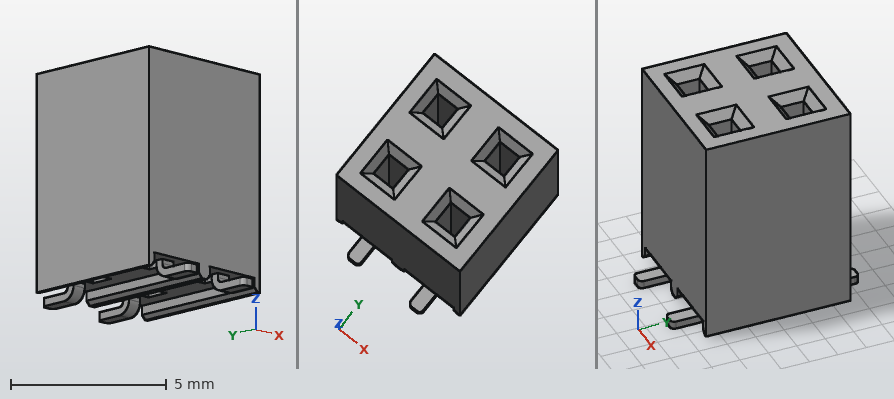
import cadquery as cq
import math

total_height = 7.4
body_width = 5.08
contact_span = 6.6
pitch = body_width / 2

body_standoff = 0.15
rib_width = 0.51
channel_depth = 0.45
foot_chamfer = 0.15

socket_mouth = 1.4
socket_bore = 0.8
socket_shift = 0.04
lead_in_depth = (socket_mouth - socket_bore) / 2

tail_width = 0.51
tail_thickness = 0.275
tail_flat = 0.985
bend_inner_radius = 0.18
tip_radius = 0.155

bend_outer_radius = bend_inner_radius + tail_thickness
channel_floor = body_standoff + channel_depth
half_pitch = pitch / 2


def make_housing():
    """Square block whose underside has two channels running along Y."""
    edge = body_width / 2
    channel_inner = rib_width / 2
    channel_outer = edge - rib_width / 2
    chamfer_top = body_standoff + foot_chamfer
    half = (
        cq.Workplane("XZ")
        .moveTo(0, total_height)
        .lineTo(edge, total_height)
        .lineTo(edge, body_standoff)
        .lineTo(channel_outer + foot_chamfer, body_standoff)
        .lineTo(channel_outer, chamfer_top)
        .lineTo(channel_outer, channel_floor)
        .lineTo(channel_inner, channel_floor)
        .lineTo(channel_inner, chamfer_top)
        .lineTo(channel_inner - foot_chamfer, body_standoff)
        .lineTo(0, body_standoff)
        .close()
        .extrude(edge, both=True)
    )
    return half.union(half.mirror("YZ"))


def make_socket(x, y):
    """Square through hole with a tapered lead-in at the top face."""
    bore = cq.Workplane("XY").center(x, y).rect(socket_bore, socket_bore).extrude(total_height)
    lead_in = (
        cq.Workplane("XY", origin=(x, y, total_height))
        .rect(socket_mouth, socket_mouth)
        .workplane(offset=-lead_in_depth)
        .rect(socket_bore, socket_bore)
        .loft(ruled=True)
    )
    return bore.union(lead_in)


def make_front_tail(x):
    """Flat tail pointing to -Y, bent upright into the channel floor."""
    tip = -contact_span / 2
    bend_start = tip + tail_flat
    front_face = bend_start + bend_inner_radius
    back_face = bend_start + bend_outer_radius
    diagonal = math.sqrt(0.5)
    outer_mid = (
        bend_start + bend_outer_radius * diagonal,
        bend_outer_radius * (1 - diagonal),
    )
    inner_mid = (
        bend_start + bend_inner_radius * diagonal,
        bend_outer_radius - bend_inner_radius * diagonal,
    )
    tail = (
        cq.Workplane("YZ", origin=(x, 0, 0))
        .moveTo(tip, 0)
        .lineTo(bend_start, 0)
        .threePointArc(outer_mid, (back_face, bend_outer_radius))
        .lineTo(back_face, channel_floor)
        .lineTo(front_face, channel_floor)
        .lineTo(front_face, bend_outer_radius)
        .threePointArc(inner_mid, (bend_start, tail_thickness))
        .lineTo(tip, tail_thickness)
        .close()
        .extrude(tail_width / 2, both=True)
    )
    return tail.faces("<Y").edges("|Z").fillet(tip_radius)


result = make_housing()
for x in (-half_pitch, half_pitch):
    for y in (-half_pitch, half_pitch):
        result = result.cut(make_socket(x, y - socket_shift))
    front_tail = make_front_tail(x)
    result = result.union(front_tail).union(front_tail.mirror("XZ"))